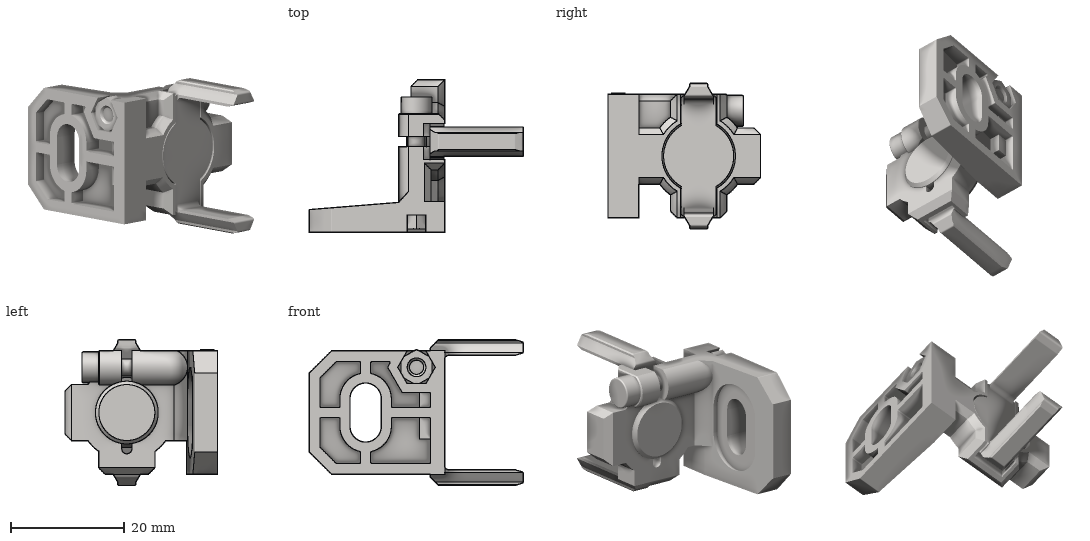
import cadquery as cq
import math

overlap = 1.0
nearly_full = 0.999

base_length = 24.0
half_height = 10.95
base_corner = 4.0
base_edge_radius = 0.25
thin_edge = 4.05
thick_edge = 5.5
head_face_x = 18.0
back_slope = (thick_edge - thin_edge) / head_face_x

border = 1.95
right_border = 2.55
rib = 1.8
floor_thickness = 2.1
pocket_corner_radius = 0.2
slot_x = 10.0
slot_width = 5.5
slot_length = 10.4
slot_wall = 1.8
spot_face_width = 11.1
spot_face_y = 4.42
block_width = 1.95
block_front = 1.6
block_bottom = -4.65
block_top = 4.0

pivot_y = 16.05
arm_half_width = 5.0
head_reach = half_height
hub_radius = 8.5
head_chamfer = 1.2

screw_x = 19.0
screw_z = 8.0
lug_radius = 3.4
lug_x = 19.24
lug_end_chamfer = 0.2
web_back_x = 21.6
web_foot = 2.15
web_foot_height = 2.37
slit_width = 1.8
slit_bottom = -7.3
shank_diameter = 3.0
screw_head_diameter = 5.5
screw_head_height = 2.93
screw_head_radius = 0.25

nut_flats = 5.5
nut_recess = 0.62
nut_pocket_depth = 3.05
nut_pocket_corners = 6.65
nut_wall = 1.55
nut_opening_width = 3.2
nut_hole_mouth = 3.3
nut_hole_floor = 2.5

pivot_diameter = 11.1
pivot_face_x = 17.25
pivot_chamfer = 0.6
pivot_collar = 0.65
recess_floor_x = 20.2
recess_width = 6.4
recess_land = 9.0
recess_radius = 6.5
bar_x = 21.4
bar_back_x = 23.87
bar_half_width = 3.1
bar_edge = 0.3
prong_tip_x = 37.9
prong_outer = 12.9
prong_inner = 10.1
prong_wide = 2.6
prong_wide_z = 10.6
prong_narrow = 1.62
prong_narrow_z = 12.28
prong_top_bevel = 0.22
prong_nose = 1.5
tip_bevel_length = 1.45
tip_bevel_height = 0.45
prong_root_radius = 0.9
prong_edge_radius = 0.4


def box(x, y, z):
    """Box from its (low, high) limits along each axis."""
    size = (x[1] - x[0], y[1] - y[0], z[1] - z[0])
    return cq.Workplane("XY").box(*size, centered=False).translate((x[0], y[0], z[0]))


def front_plane(y):
    """Plane facing -Y at the given Y: local x is X and local y is Z, extrusions go toward -Y."""
    return cq.Workplane("XZ", origin=(0, y, 0))


def cylinder_y(diameter, y_low, y_high):
    """Cylinder on the screw axis."""
    return front_plane(y_high).center(screw_x, screw_z).circle(diameter / 2).extrude(y_high - y_low)


def hexagon_prism(corners, y_low, y_high, turn=0):
    """Hexagonal prism on the screw axis; at zero turn its corners point along X."""
    prism = front_plane(y_high).polygon(6, corners).extrude(y_high - y_low)
    return prism.rotate((0, 0, 0), (0, 1, 0), turn).translate((screw_x, 0, screw_z))


def stadium(width, length, y_low, y_high):
    """Upright slot shape around the mounting slot centre."""
    sketch = front_plane(y_high).center(slot_x, 0).slot2D(length, width, 90)
    return sketch.extrude(y_high - y_low)


def pivot_cylinder(radius, x_low, x_high):
    """Cylinder on the pivot axis."""
    plane = cq.Workplane("YZ", origin=(x_low, pivot_y, 0))
    return plane.circle(radius).extrude(x_high - x_low)


def plate_outline(left, right, half, corner):
    """Rectangle with its two left corners cut off at 45 degrees."""
    return [
        (left, half - corner),
        (left + corner, half),
        (right, half),
        (right, -half),
        (left + corner, -half),
        (left, corner - half),
    ]


def base_plate():
    outline = plate_outline(0, base_length, half_height, base_corner)
    plate = front_plane(thick_edge).polyline(outline).close().extrude(thick_edge)
    plate = plate.edges("|Y and (>Z or <Z)").edges("<X").fillet(base_edge_radius)
    wedge = [(0, thin_edge), (head_face_x, thick_edge), (0, thick_edge)]
    slope = cq.Workplane("XY", origin=(0, 0, -half_height)).polyline(wedge).close()
    plate = plate.cut(slope.extrude(2 * half_height))
    return plate.faces("<X").edges(">Y").fillet(base_edge_radius)


def base_pockets():
    """Four pockets between the ribs, with a floor parallel to the sloped back."""
    right = base_length - right_border
    corner = base_corner - border * (2 - math.sqrt(2))
    outline = plate_outline(border, right, half_height - border, corner)
    space = front_plane(thick_edge).polyline(outline).close().extrude(thick_edge)
    space = space.cut(stadium(slot_width + 2 * slot_wall, slot_length + 2 * slot_wall, 0, thick_edge))
    space = space.cut(box((0, base_length), (0, thick_edge), (-rib / 2, rib / 2)))
    space = space.cut(
        box((slot_x - rib / 2, slot_x + rib / 2), (0, thick_edge), (-half_height, half_height))
    )
    space = space.cut(hexagon_prism(nut_pocket_corners + 4 * nut_wall / math.sqrt(3), 0, thick_edge))
    space = space.edges("|Y").fillet(pocket_corner_radius)
    floor_start = thin_edge - floor_thickness
    under_floor = [
        (0, 0),
        (base_length, 0),
        (base_length, floor_start + back_slope * base_length),
        (0, floor_start),
    ]
    limit = cq.Workplane("XY", origin=(0, 0, -half_height)).polyline(under_floor).close()
    space = space.intersect(limit.extrude(2 * half_height))
    block = box((right - block_width, right), (block_front, thick_edge), (block_bottom, block_top))
    return space.cut(block)


def clamp_head():
    """Cross with a round hub; the long edges on its +X side are chamfered, the ends are not."""
    top_y = pivot_y + head_reach
    arm_y = pivot_y + arm_half_width
    depth = base_length - head_face_x
    plane = cq.Workplane("YZ", origin=(head_face_x, 0, 0))
    past_end = 2 * (head_reach + head_chamfer)
    head = plane.center(pivot_y, 0).circle(hub_radius).extrude(depth)
    head = head.union(plane.center(pivot_y, 0).rect(past_end, 2 * arm_half_width).extrude(depth))
    head = head.union(plane.center(pivot_y, 0).rect(2 * arm_half_width, past_end).extrude(depth))
    head = head.faces(">X").edges().chamfer(head_chamfer)
    limits = box((head_face_x, base_length), (thick_edge - overlap, top_y), (-head_reach, head_reach))
    head = head.intersect(limits)
    lug_end = [
        (arm_y - lug_end_chamfer, half_height),
        (arm_y, half_height),
        (arm_y, half_height - lug_end_chamfer),
    ]
    head = head.cut(plane.polyline(lug_end).close().extrude(depth))
    for turn in (0, -90):
        head = head.cut(arm_end_cuts().rotate((0, pivot_y, 0), (1, pivot_y, 0), turn))
    return head


def arm_end_cuts():
    """Waste at the end of the +Y arm: two 45 degree corners and a bevel toward -X."""
    end_y = pivot_y + head_reach
    start_y = end_y - head_chamfer
    inner = arm_half_width - head_chamfer
    waste = None
    for side in (1, -1):
        corner = [(end_y, side * inner), (end_y, side * arm_half_width), (start_y, side * arm_half_width)]
        cut = cq.Workplane("YZ", origin=(head_face_x, 0, 0)).polyline(corner).close()
        cut = cut.extrude(base_length - head_face_x)
        waste = cut if waste is None else waste.union(cut)
    bevel = [(head_face_x, start_y), (head_face_x, end_y), (head_face_x + head_chamfer, end_y)]
    cut = cq.Workplane("XY", origin=(0, 0, -arm_half_width)).polyline(bevel).close()
    return waste.union(cut.extrude(2 * arm_half_width))


def lug():
    """Round-nosed lug along the screw, flat on top, and its web down to the base."""
    end_y = pivot_y + arm_half_width
    nose = front_plane(end_y).center(lug_x, screw_z).circle(lug_radius).extrude(end_y - thin_edge)
    web = box((screw_x, web_back_x), (thin_edge, end_y), (arm_half_width - overlap, half_height))
    body = nose.union(web)
    body = body.intersect(box((0, web_back_x), (thin_edge, end_y), (0, half_height)))
    body = body.faces(">Y").edges().chamfer(lug_end_chamfer)
    foot_start = head_face_x - web_foot
    foot_y = thin_edge + back_slope * foot_start
    foot = [
        (foot_start, foot_y),
        (head_face_x, foot_y + web_foot_height),
        (web_back_x, foot_y + web_foot_height),
        (web_back_x, foot_y),
    ]
    profile = cq.Workplane("XY", origin=(0, 0, -arm_half_width)).polyline(foot).close()
    return body.union(profile.extrude(arm_half_width + half_height))


def side_notch_bevel():
    """Bevel around the top of the notch between web, base and upper arm of the head."""
    wall_y = pivot_y - arm_half_width
    low = half_height - head_chamfer
    past_side = base_length + head_chamfer
    along_web = [
        (web_back_x, low),
        (web_back_x - head_chamfer, half_height),
        (past_side, half_height),
        (past_side, low),
    ]
    along_arm = [
        (wall_y, low),
        (wall_y + head_chamfer, half_height),
        (thick_edge, half_height),
        (thick_edge, low),
    ]
    web_side = front_plane(pivot_y).polyline(along_web).close().extrude(pivot_y)
    arm_side = cq.Workplane("YZ").polyline(along_arm).close().extrude(past_side)
    return web_side.intersect(arm_side)


def hardware():
    """Clamp screw and nut, one piece with the bracket."""
    seat_y = pivot_y + arm_half_width
    head = cylinder_y(screw_head_diameter, seat_y, seat_y + screw_head_height)
    head = head.faces(">Y").edges().fillet(screw_head_radius)
    shank = cylinder_y(shank_diameter, nut_pocket_depth, seat_y)
    nut = hexagon_prism(2 * nut_flats / math.sqrt(3), nut_recess, nut_pocket_depth, 30)
    taper = (nut_hole_mouth - nut_hole_floor) / 2
    mouth = cylinder_y(nut_hole_mouth, nut_recess, nut_recess + taper)
    mouth = mouth.faces(">Y").chamfer(taper * nearly_full)
    return head.union(shank).union(nut.cut(mouth))


def nut_pocket():
    pocket = hexagon_prism(nut_pocket_corners, 0, nut_pocket_depth)
    opening = box(
        (screw_x - nut_opening_width / 2, screw_x + nut_opening_width / 2),
        (0, nut_pocket_depth),
        (screw_z, half_height),
    )
    return pocket.union(opening)


def clamp_slit():
    radius = slit_width / 2
    low = slit_bottom + radius
    span = (screw_x - 2 * lug_radius, base_length)
    slit = box(span, (pivot_y - radius, pivot_y + radius), (low, half_height))
    return slit.union(pivot_cylinder(radius, *span).translate((0, 0, low)))


def fork_recess():
    """Room for the fork: round around the collar, with a groove for the bar and prongs."""
    groove = (pivot_y - recess_width / 2, pivot_y + recess_width / 2)
    recess = pivot_cylinder(recess_radius, recess_floor_x, base_length)
    recess = recess.union(box((bar_x, base_length), groove, (-half_height, half_height)))
    recess = recess.union(box((recess_floor_x, bar_x), groove, (recess_land, half_height)))
    return recess.union(box((recess_floor_x, bar_x), groove, (-half_height, -recess_land)))


def make_bracket():
    body = base_plate().union(clamp_head()).union(lug())
    body = body.cut(base_pockets())
    body = body.cut(stadium(slot_width, slot_length, 0, thick_edge))
    spot_face_length = slot_length + spot_face_width - slot_width
    body = body.cut(stadium(spot_face_width, spot_face_length, spot_face_y, thick_edge))
    body = body.cut(side_notch_bevel())
    body = body.cut(clamp_slit())
    body = body.cut(nut_pocket())
    body = body.cut(fork_recess())
    body = body.union(hardware())
    return body.cut(pivot_cylinder(pivot_diameter / 2, screw_x - 2 * lug_radius, recess_floor_x))


def prong():
    """Upper prong of the fork: roof-shaped section with a sloped nose and a tapered tip."""
    half = [
        (prong_wide, prong_inner),
        (prong_wide, prong_wide_z),
        (prong_narrow, prong_narrow_z),
        (prong_narrow, prong_outer - prong_top_bevel),
        (prong_narrow - prong_top_bevel, prong_outer),
    ]
    section = half + [(-y, z) for y, z in reversed(half)]
    body = cq.Workplane("YZ", origin=(bar_x, pivot_y, 0)).polyline(section).close()
    body = body.extrude(prong_tip_x - bar_x)
    taper_x = prong_tip_x - tip_bevel_length
    side = [
        (bar_x, prong_inner),
        (bar_x, prong_outer - prong_nose),
        (bar_x + prong_nose, prong_outer),
        (taper_x, prong_outer),
        (prong_tip_x, prong_outer - tip_bevel_height),
        (prong_tip_x, prong_inner + tip_bevel_height),
        (taper_x, prong_inner),
    ]
    limit = front_plane(pivot_y + prong_wide).polyline(side).close().extrude(2 * prong_wide)
    limit = limit.edges("|Y and (not (<X and <Z))").fillet(prong_edge_radius)
    return body.intersect(limit)


def prong_root():
    """Concave fillet between the bar and the inside of the upper prong."""
    radius = prong_root_radius
    x, z = bar_back_x, prong_inner
    profile = front_plane(pivot_y + prong_wide).moveTo(x, z).lineTo(x, z - radius)
    bend = radius * (1 - math.sqrt(0.5))
    profile = profile.threePointArc((x + bend, z - bend), (x + radius, z)).close()
    return profile.extrude(2 * prong_wide)


def fork_half():
    """Upper half of the bar with its bevelled end, the prong and its root."""
    bar = box(
        (bar_x, bar_back_x),
        (pivot_y - bar_half_width, pivot_y + bar_half_width),
        (0, prong_wide_z),
    )
    bar = bar.edges("|X and >Z").chamfer(bar_edge)
    return bar.union(prong()).union(prong_root())


def make_fork():
    """Pivot disc carrying the bar with two mirrored prongs."""
    pivot = pivot_cylinder(pivot_diameter / 2, pivot_face_x, bar_back_x)
    pivot = pivot.faces("<X").chamfer(pivot_chamfer)
    collar = pivot_cylinder(pivot_diameter / 2 + pivot_collar, bar_x - pivot_collar, bar_back_x)
    pivot = pivot.union(collar.faces("<X").chamfer(pivot_collar * nearly_full))
    half = fork_half()
    return pivot.union(half).union(half.mirror("XY"))


bracket = make_bracket()
fork = make_fork()
result = cq.Compound.makeCompound([bracket.val(), fork.val()])